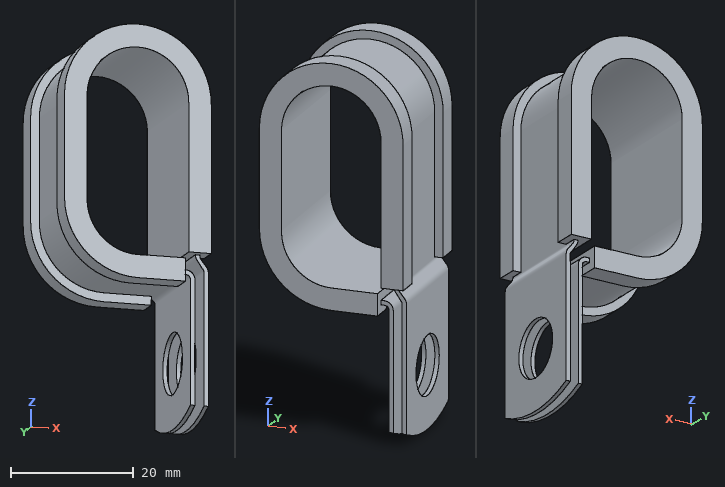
import cadquery as cq

loop_radius = 12.6
cushion_thickness = 3.9
cushion_width = 22.1
total_height = 64.95
upper_center_z = total_height - loop_radius
lower_center_z = 35.0
right_end_z = 27.35
bottom_end_x = 8.1

groove_width = 13.95
groove_depth = 1.5
groove_radius = loop_radius - groove_depth

strap_thickness = 0.8
strap_width = 18.95
tab_gap = 1.55
right_tab_outer_x = loop_radius
right_tab_inner_x = right_tab_outer_x - strap_thickness
left_tab_outer_x = right_tab_inner_x - tab_gap
left_tab_inner_x = left_tab_outer_x - strap_thickness
embed = 1.3

bend_bottom_z = lower_center_z - groove_radius
bend_top_z = bend_bottom_z + strap_thickness
bend_inner_radius = 0.8
bend_outer_radius = bend_inner_radius + strap_thickness

jog_top_z = 26.9
jog_bottom_z = 25.0
jog_bottom_inner_z = 24.7

tab_corner_z = 2.1
hole_diameter = 10.4
hole_z = 11.1


def loop_band(outer_radius, thickness, width):
    """Slot-shaped band centred on Y, open at its lower right corner."""
    inner_radius = outer_radius - thickness
    outer_bottom_z = lower_center_z - outer_radius
    inner_bottom_z = lower_center_z - inner_radius
    return (
        cq.Workplane("XZ")
        .moveTo(outer_radius, right_end_z)
        .lineTo(outer_radius, upper_center_z)
        .threePointArc((0, upper_center_z + outer_radius), (-outer_radius, upper_center_z))
        .lineTo(-outer_radius, lower_center_z)
        .radiusArc((0, outer_bottom_z), -outer_radius)
        .lineTo(bottom_end_x, outer_bottom_z)
        .lineTo(bottom_end_x, inner_bottom_z)
        .lineTo(0, inner_bottom_z)
        .radiusArc((-inner_radius, lower_center_z), inner_radius)
        .lineTo(-inner_radius, upper_center_z)
        .threePointArc((0, upper_center_z + inner_radius), (inner_radius, upper_center_z))
        .lineTo(inner_radius, right_end_z)
        .close()
        .extrude(width / 2, both=True)
    )


def left_tab():
    """Strap leaving the bottom wall and bending down."""
    return (
        cq.Workplane("XZ")
        .moveTo(bottom_end_x - embed, bend_top_z)
        .lineTo(left_tab_outer_x - bend_outer_radius, bend_top_z)
        .radiusArc((left_tab_outer_x, bend_top_z - bend_outer_radius), bend_outer_radius)
        .lineTo(left_tab_outer_x, 0)
        .lineTo(left_tab_inner_x, 0)
        .lineTo(left_tab_inner_x, bend_bottom_z - bend_inner_radius)
        .radiusArc((left_tab_inner_x - bend_inner_radius, bend_bottom_z), -bend_inner_radius)
        .lineTo(bottom_end_x - embed, bend_bottom_z)
        .close()
        .extrude(strap_width / 2, both=True)
    )


def round_corner(body, corner, radius):
    """Fillet the edge along Y nearest to the (x, z) corner."""
    x, z = corner
    return body.edges("|Y").edges(cq.selectors.NearestToPointSelector((x, 0, z))).fillet(radius)


def right_tab():
    """Strap leaving the right wall and jogging out to the loop's side."""
    groove_inner_x = groove_radius - strap_thickness
    profile = (
        cq.Workplane("XZ")
        .moveTo(groove_radius, right_end_z + embed)
        .lineTo(groove_radius, jog_top_z)
        .lineTo(right_tab_outer_x, jog_bottom_z)
        .lineTo(right_tab_outer_x, 0)
        .lineTo(right_tab_inner_x, 0)
        .lineTo(right_tab_inner_x, jog_bottom_inner_z)
        .lineTo(groove_inner_x, jog_top_z)
        .lineTo(groove_inner_x, right_end_z + embed)
        .close()
        .extrude(strap_width / 2, both=True)
    )
    inside_bends = [(groove_radius, jog_top_z), (right_tab_inner_x, jog_bottom_inner_z)]
    outside_bends = [(groove_inner_x, jog_top_z), (right_tab_outer_x, jog_bottom_z)]
    for corner in inside_bends:
        profile = round_corner(profile, corner, bend_inner_radius)
    for corner in outside_bends:
        profile = round_corner(profile, corner, bend_outer_radius)
    return profile


def tab_outline():
    """Block bounding both tabs: full strap width with a rounded lower end."""
    half_width = strap_width / 2
    return (
        cq.Workplane("YZ")
        .moveTo(-half_width, total_height)
        .lineTo(-half_width, tab_corner_z)
        .threePointArc((0, 0), (half_width, tab_corner_z))
        .lineTo(half_width, total_height)
        .close()
        .extrude(loop_radius + 0.65)
    )


cushion = loop_band(loop_radius, cushion_thickness, cushion_width)
groove = loop_band(loop_radius, groove_depth, groove_width)
bolt_hole = cq.Workplane("YZ").center(0, hole_z).circle(hole_diameter / 2).extrude(loop_radius + 0.65)

tabs = left_tab().union(right_tab()).intersect(tab_outline()).cut(bolt_hole)
result = cushion.cut(groove).union(tabs)